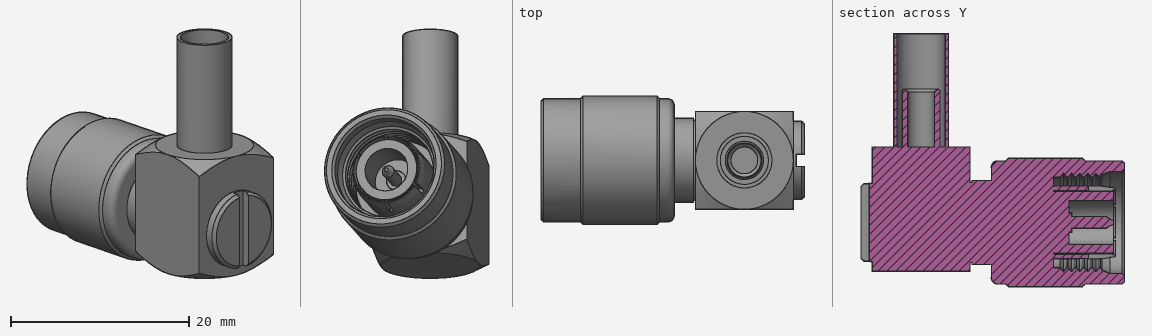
import cadquery as cq
import math


BODY_SIDE = 11.0
BODY_TOP = 8.5
BODY_BOTTOM = -BODY_SIDE / 2
CORNER_CUT_ANGLE = 30.0

TUBE_RADIUS = 3.1
TUBE_BORE_RADIUS = 2.7
TUBE_TOP = 21.2
FERRULE_RADIUS = 2.15
FERRULE_RIM_OUTER_RADIUS = 1.97
FERRULE_RIM_INNER_RADIUS = 1.87
FERRULE_BORE_RADIUS = 1.5
FERRULE_TOP = 15.0

PLUG_RADIUS = 4.42
PLUG_LENGTH = 1.28
PLUG_CHAMFER = 0.35
PLUG_SLOT_WIDTH = 1.35
PLUG_SLOT_DEPTH = 0.95

NUT_FRONT = -22.87
NUT_LENGTH = 15.0
NUT_GRIP_RADIUS = 7.24
NUT_END_RADIUS = 6.93
NUT_FRONT_CHAMFER = 0.3
GRIP_START = 4.45
GRIP_END = 13.36
GRIP_CHAMFER = NUT_GRIP_RADIUS - NUT_END_RADIUS
NUT_REAR_ROUND = 0.74

ENTRY_RADIUS = 5.72
ENTRY_CHAMFER = 0.3
ENTRY_END = 1.65
MIDDLE_RADIUS = 5.37
MIDDLE_START = 2.55
INNER_RADIUS = 5.07
INNER_START = 2.72
BORE_DEPTH = 8.0
THREAD_PITCH = 0.907
THREAD_DEPTH = 0.45
THREAD_CREST = 0.15
THREAD_GROOVES = 5

COLLAR_RADIUS = 4.74
NECK_RADIUS = 4.52
NECK_LENGTH = 0.2

INSULATOR_FRONT = 1.24
INSULATOR_RADIUS = 3.49
INSULATOR_BORE_RADIUS = 2.46
INSULATOR_BORE_DEPTH = 5.0
CONTACT_RADIUS = 4.1
CONTACT_RIM_OUTER_RADIUS = 3.85
CONTACT_RIM_INNER_RADIUS = 3.72
CONTACT_FRONT = 1.05
CONTACT_OUTER_TAPER = 1.6
CONTACT_INNER_TAPER = 0.4
CONTACT_BORE_RADIUS = 3.55
CONTACT_SLOT_COUNT = 6
CONTACT_SLOT_WIDTH = 0.42
CONTACT_SLOT_LENGTH = 3.0
PIN_RADIUS = 0.67
PIN_TIP_RADIUS = 0.2
PIN_FRONT = 1.25
PIN_TIP_LENGTH = 0.7
PIN_SHOULDER_RADIUS = 0.58
PIN_SHOULDER_LENGTH = 0.1
PIN_BASE_RADIUS = 1.11
PIN_BASE_HEIGHT = 0.3

BODY_HALF = BODY_SIDE / 2
INSULATOR_FLOOR = INSULATOR_FRONT + INSULATOR_BORE_DEPTH


def behind_front(distance):
    """X position a given distance behind the front face of the nut."""
    return NUT_FRONT + distance


def turned_on_x(outline):
    """Revolve a closed outline, drawn as X against radius, about the X axis."""
    return outline.close().revolve(360, (0, 0, 0), (1, 0, 0))


def turned_on_z(points):
    """Revolve a closed (radius, Z) outline about the Z axis."""
    return cq.Workplane("XZ").polyline(points).close().revolve(360, (0, 0, 0), (0, 1, 0))


def x_cylinder(radius, start, end):
    """Cylinder on the X axis between two X positions."""
    return cq.Workplane("YZ", origin=(start, 0, 0)).circle(radius).extrude(end - start)


def elbow_body():
    height = BODY_TOP - BODY_BOTTOM
    block = cq.Workplane("XY", origin=(0, 0, BODY_BOTTOM)).rect(BODY_SIDE, BODY_SIDE).extrude(height)
    reach = BODY_SIDE
    fall = (reach - BODY_HALF) * math.tan(math.radians(CORNER_CUT_ANGLE))
    envelope = turned_on_z([
        (0, BODY_BOTTOM),
        (BODY_HALF, BODY_BOTTOM),
        (reach, BODY_BOTTOM + fall),
        (reach, BODY_TOP - fall),
        (BODY_HALF, BODY_TOP),
        (0, BODY_TOP),
    ])
    return block.intersect(envelope)


def crimp_tube():
    base = cq.Workplane("XY", origin=(0, 0, BODY_TOP))
    return base.circle(TUBE_RADIUS).circle(TUBE_BORE_RADIUS).extrude(TUBE_TOP - BODY_TOP)


def cable_ferrule():
    outer_chamfer = FERRULE_RADIUS - FERRULE_RIM_OUTER_RADIUS
    inner_chamfer = FERRULE_RIM_INNER_RADIUS - FERRULE_BORE_RADIUS
    return turned_on_z([
        (FERRULE_BORE_RADIUS, BODY_TOP),
        (FERRULE_RADIUS, BODY_TOP),
        (FERRULE_RADIUS, FERRULE_TOP - outer_chamfer),
        (FERRULE_RIM_OUTER_RADIUS, FERRULE_TOP),
        (FERRULE_RIM_INNER_RADIUS, FERRULE_TOP),
        (FERRULE_BORE_RADIUS, FERRULE_TOP - inner_chamfer),
    ])


def rear_plug():
    plug_end = BODY_HALF + PLUG_LENGTH
    plug = x_cylinder(PLUG_RADIUS, BODY_HALF, plug_end).faces(">X").chamfer(PLUG_CHAMFER)
    slot = cq.Workplane("XY").box(2 * PLUG_SLOT_DEPTH, PLUG_SLOT_WIDTH, 2 * PLUG_RADIUS)
    return plug.cut(slot.translate((plug_end, 0, 0)))


def nut_shell():
    outline = (
        cq.Workplane("XY")
        .moveTo(behind_front(0), 0)
        .lineTo(behind_front(0), NUT_END_RADIUS - NUT_FRONT_CHAMFER)
        .lineTo(behind_front(NUT_FRONT_CHAMFER), NUT_END_RADIUS)
        .lineTo(behind_front(GRIP_START), NUT_END_RADIUS)
        .lineTo(behind_front(GRIP_START + GRIP_CHAMFER), NUT_GRIP_RADIUS)
        .lineTo(behind_front(GRIP_END - GRIP_CHAMFER), NUT_GRIP_RADIUS)
        .lineTo(behind_front(GRIP_END), NUT_END_RADIUS)
        .lineTo(behind_front(NUT_LENGTH - NUT_REAR_ROUND), NUT_END_RADIUS)
        .radiusArc((behind_front(NUT_LENGTH), NUT_END_RADIUS - NUT_REAR_ROUND), NUT_REAR_ROUND)
        .lineTo(behind_front(NUT_LENGTH), 0)
    )
    return turned_on_x(outline)


def nut_bore():
    """Stepped bore with ring grooves standing for the internal thread."""
    points = [
        (behind_front(0), 0),
        (behind_front(0), ENTRY_RADIUS + ENTRY_CHAMFER),
        (behind_front(ENTRY_CHAMFER), ENTRY_RADIUS),
        (behind_front(ENTRY_END), ENTRY_RADIUS),
        (behind_front(MIDDLE_START), MIDDLE_RADIUS),
        (behind_front(INNER_START), INNER_RADIUS),
    ]
    for groove in range(THREAD_GROOVES):
        groove_start = INNER_START + THREAD_CREST + groove * THREAD_PITCH
        groove_end = groove_start + THREAD_PITCH - THREAD_CREST
        groove_middle = (groove_start + groove_end) / 2
        points += [
            (behind_front(groove_start), INNER_RADIUS),
            (behind_front(groove_middle), INNER_RADIUS + THREAD_DEPTH),
            (behind_front(groove_end), INNER_RADIUS),
        ]
    points += [
        (behind_front(BORE_DEPTH), INNER_RADIUS),
        (behind_front(BORE_DEPTH), 0),
    ]
    return turned_on_x(cq.Workplane("XY").polyline(points))


def collar():
    neck_start = -BODY_HALF - NECK_LENGTH
    wide = x_cylinder(COLLAR_RADIUS, behind_front(NUT_LENGTH), neck_start)
    return wide.union(x_cylinder(NECK_RADIUS, neck_start, -BODY_HALF))


def insulator():
    body = x_cylinder(INSULATOR_RADIUS, behind_front(INSULATOR_FRONT), behind_front(NUT_LENGTH))
    bore = x_cylinder(INSULATOR_BORE_RADIUS, behind_front(INSULATOR_FRONT), behind_front(INSULATOR_FLOOR))
    return body.cut(bore)


def outer_contact():
    """Sleeve with a tapered rim and evenly spaced lengthwise slots."""
    inner_taper_end = CONTACT_FRONT + CONTACT_INNER_TAPER
    outline = cq.Workplane("XY").polyline([
        (behind_front(BORE_DEPTH), CONTACT_BORE_RADIUS),
        (behind_front(BORE_DEPTH), CONTACT_RADIUS),
        (behind_front(CONTACT_FRONT + CONTACT_OUTER_TAPER), CONTACT_RADIUS),
        (behind_front(CONTACT_FRONT), CONTACT_RIM_OUTER_RADIUS),
        (behind_front(CONTACT_FRONT), CONTACT_RIM_INNER_RADIUS),
        (behind_front(inner_taper_end), CONTACT_BORE_RADIUS),
    ])
    slot = cq.Workplane("XY").box(
        CONTACT_SLOT_LENGTH, CONTACT_SLOT_WIDTH, CONTACT_RADIUS, centered=(False, True, False)
    )
    slot = slot.translate((behind_front(CONTACT_FRONT), 0, 0))
    sleeve = turned_on_x(outline)
    for number in range(CONTACT_SLOT_COUNT):
        angle = number * 360 / CONTACT_SLOT_COUNT
        sleeve = sleeve.cut(slot.rotate((0, 0, 0), (1, 0, 0), angle))
    return sleeve


def centre_pin():
    base_front = INSULATOR_FLOOR - PIN_BASE_HEIGHT
    outline = cq.Workplane("XY").polyline([
        (behind_front(PIN_FRONT), 0),
        (behind_front(PIN_FRONT), PIN_TIP_RADIUS),
        (behind_front(PIN_FRONT + PIN_TIP_LENGTH), PIN_SHOULDER_RADIUS),
        (behind_front(PIN_FRONT + PIN_TIP_LENGTH + PIN_SHOULDER_LENGTH), PIN_RADIUS),
        (behind_front(base_front), PIN_RADIUS),
        (behind_front(base_front), PIN_BASE_RADIUS),
        (behind_front(INSULATOR_FLOOR), PIN_BASE_RADIUS),
        (behind_front(INSULATOR_FLOOR), 0),
    ])
    return turned_on_x(outline)


result = nut_shell().cut(nut_bore())
for piece in (outer_contact(), insulator(), centre_pin(), collar(), elbow_body(),
              rear_plug(), crimp_tube(), cable_ferrule()):
    result = result.union(piece)